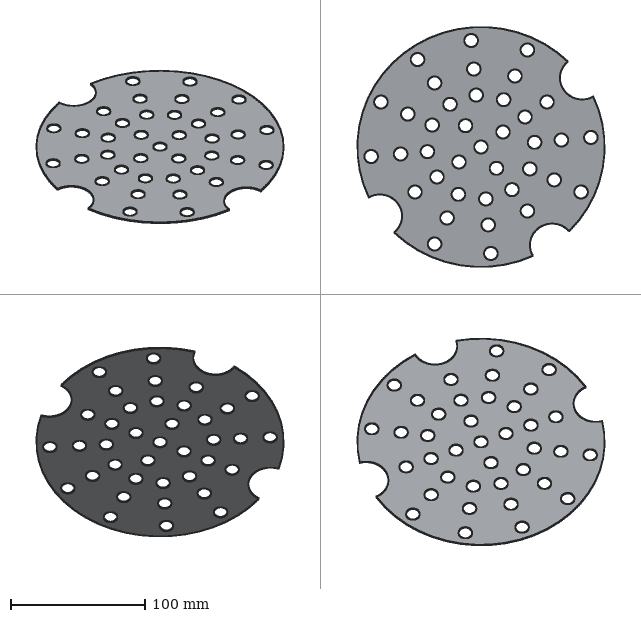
import cadquery as cq

disc_radius = 92.0
thickness = 1.0
hole_diameter = 10.0
notch_radius = 16.5

inner_ring_radius = 20.0
inner_ring_count = 4
full_ring_radii = (40.0, 60.0)
outer_ring_radius = 82.0
ring_count = 12

notch_angles = (0, 180, 270)


def ring_angles(count):
    """Evenly spaced directions, in degrees from +X."""
    return [i * 360 // count for i in range(count)]


def cylinders_on_ring(radius, angles, diameter):
    """Cutting cylinders, as thick as the disc, at the given ring directions."""
    cutters = cq.Workplane("XY")
    for angle in angles:
        cutters = cutters.add(
            cq.Workplane("XY")
            .transformed(rotate=(0, 0, angle))
            .center(radius, 0)
            .circle(diameter / 2)
            .extrude(thickness)
        )
    return cutters.combine()


def make_disc():
    return cq.Workplane("XY").circle(disc_radius).extrude(thickness)


def cut_notches(plate):
    """Round notches centred on the rim of the disc."""
    return plate.cut(cylinders_on_ring(disc_radius, notch_angles, 2 * notch_radius))


def cut_holes(plate):
    """Centre hole, the inner and full rings, and the outer ring between the notches."""
    plate = plate.cut(cylinders_on_ring(0, [0], hole_diameter))
    plate = plate.cut(cylinders_on_ring(inner_ring_radius, ring_angles(inner_ring_count), hole_diameter))
    for radius in full_ring_radii:
        plate = plate.cut(cylinders_on_ring(radius, ring_angles(ring_count), hole_diameter))
    outer_angles = [angle for angle in ring_angles(ring_count) if angle not in notch_angles]
    return plate.cut(cylinders_on_ring(outer_ring_radius, outer_angles, hole_diameter))


result = cut_holes(cut_notches(make_disc()))